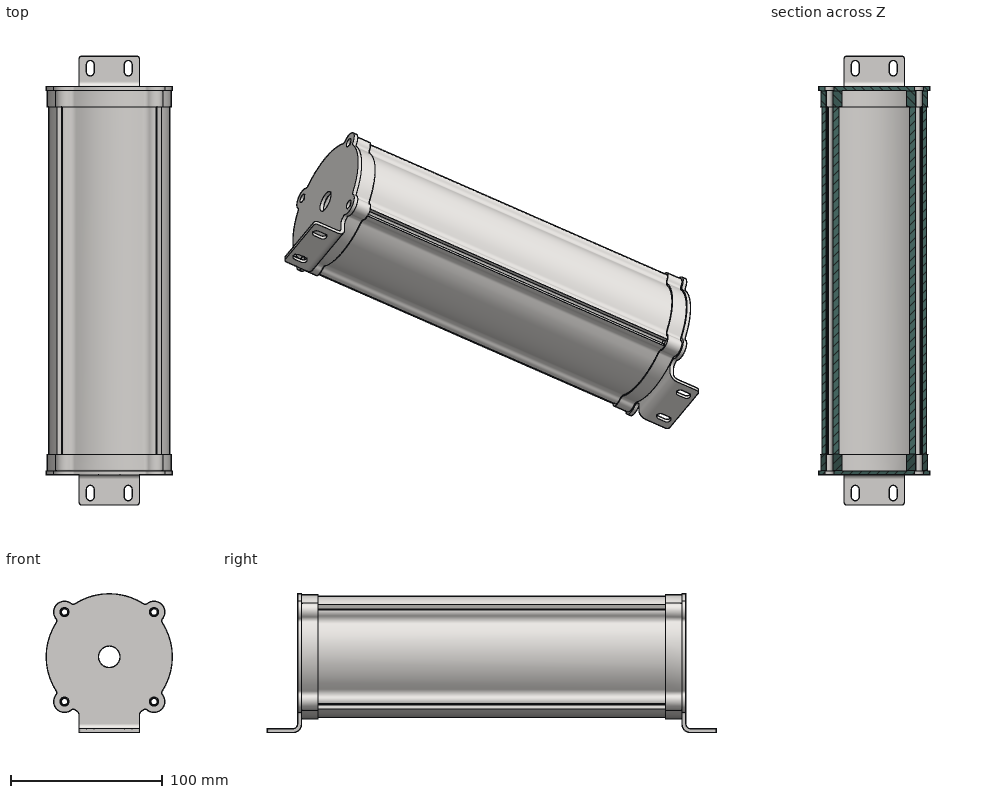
import cadquery as cq
import math

overall_length = 296.0
foot_bottom_z = -50.0

screw_spacing = 59.0
screw_offset = screw_spacing / 2
screw_positions = [(sx * screw_offset, sz * screw_offset) for sx in (-1, 1) for sz in (-1, 1)]
lobe_distance = screw_offset * math.sqrt(2)
screw_diameter = 4.2
screw_clearance_diameter = 5.9

tube_length = 229.0
tube_radius = 40.0
tube_bore_diameter = 75.0
tube_lobe_radius = 5.0
tube_blend_radius = 5.0
groove_throat_width = 2.0
groove_half_angle = 30.0

cap_radius = 41.0
cap_lobe_radius = 5.8
cap_blend_radius = 3.0
cap_edge_fillet = 0.6
cap_bore_diameter = 72.6

bracket_radius = 41.66
bracket_lobe_radius = 7.2
bracket_blend_radius = 2.0
cable_hole_diameter = 14.0
sheet_thickness = 2.7
bend_inner_radius = 3.0
bend_outer_radius = bend_inner_radius + sheet_thickness
foot_reach = 20.0
foot_width = 40.0
foot_corner_radius = 2.0
leg_fillet_radius = 3.0
slot_width = 5.0
slot_length = 10.0
slot_spacing = 25.0
slot_end_distance = 8.0

tube_end_y = tube_length / 2
foot_end_y = overall_length / 2
plate_outer_y = foot_end_y - foot_reach
plate_inner_y = plate_outer_y - sheet_thickness
cap_thickness = plate_inner_y - tube_end_y


def polar(distance, angle):
    return cq.Vector(distance * math.cos(angle), distance * math.sin(angle))


def lobed_solid(body_radius, lobe_radius, blend_radius, thickness):
    """Round body with four blended corner lobes, reaching from Y=0 to Y=thickness."""
    blend_distance = body_radius + blend_radius
    blend_to_lobe = lobe_radius + blend_radius
    blend_angle = math.acos(
        (blend_distance**2 + lobe_distance**2 - blend_to_lobe**2) / (2 * blend_distance * lobe_distance)
    )

    def blend_points(corner, side):
        centre = polar(blend_distance, corner + side * blend_angle)
        lobe_centre = polar(lobe_distance, corner)
        on_body = polar(body_radius, corner + side * blend_angle)
        on_lobe = lobe_centre + (centre - lobe_centre).normalized() * lobe_radius
        middle = centre + ((on_body + on_lobe) / 2 - centre).normalized() * blend_radius
        return on_body.toTuple()[:2], middle.toTuple()[:2], on_lobe.toTuple()[:2]

    corners = [math.radians(45 + 90 * quarter) for quarter in range(4)]
    start = blend_points(corners[-1], 1)[0]
    outline = cq.Workplane("XZ").moveTo(*start)
    for corner in corners:
        body_before, blend_before, lobe_before = blend_points(corner, -1)
        body_after, blend_after, lobe_after = blend_points(corner, 1)
        body_middle = polar(body_radius, corner - math.radians(45)).toTuple()[:2]
        lobe_tip = polar(lobe_distance + lobe_radius, corner).toTuple()[:2]
        outline = (
            outline.threePointArc(body_middle, body_before)
            .threePointArc(blend_before, lobe_before)
            .threePointArc(lobe_tip, lobe_after)
            .threePointArc(blend_after, body_after)
        )
    return outline.close().extrude(-thickness)


def cylinders(positions, diameter, thickness):
    """Cylinders along Y, reaching from Y=0 to Y=thickness."""
    return cq.Workplane("XZ").pushPoints(positions).circle(diameter / 2).extrude(-thickness)


def make_tube():
    tube = lobed_solid(tube_radius, tube_lobe_radius, tube_blend_radius, tube_length)
    tube = tube.cut(cylinders([(0, 0)], tube_bore_diameter, tube_length))
    tube = tube.cut(cylinders(screw_positions, screw_diameter, tube_length))
    mouth_depth = 2 * tube_lobe_radius
    throat = groove_throat_width / 2
    throat_start = math.sqrt((screw_diameter / 2) ** 2 - throat**2)
    mouth = throat + mouth_depth * math.tan(math.radians(groove_half_angle))
    for quarter in range(4):
        opening = (
            cq.Workplane("XZ")
            .center(lobe_distance + throat_start, 0)
            .polyline([(0, -throat), (mouth_depth, -mouth), (mouth_depth, mouth), (0, throat)])
            .close()
            .extrude(-tube_length)
            .rotate((0, 0, 0), (0, 1, 0), 45 + 90 * quarter)
        )
        tube = tube.cut(opening)
    return tube.translate((0, -tube_end_y, 0))


def make_cap():
    """Cap at the +Y end of the tube."""
    cap = lobed_solid(cap_radius, cap_lobe_radius, cap_blend_radius, cap_thickness)
    cap = cap.faces(">Y").edges().fillet(cap_edge_fillet)
    cap = cap.cut(cylinders([(0, 0)], cap_bore_diameter, cap_thickness))
    cap = cap.cut(cylinders(screw_positions, screw_diameter, cap_thickness))
    return cap.translate((0, tube_end_y, 0))


def make_foot():
    """Leg hanging from the plate, bent outward into a slotted foot, at the +Y end."""
    bend_y = plate_outer_y + bend_inner_radius
    bend_z = foot_bottom_z + bend_outer_radius
    foot_top_z = foot_bottom_z + sheet_thickness
    leg_top_z = -screw_offset
    sin45 = math.sin(math.radians(45))
    foot = (
        cq.Workplane("YZ")
        .moveTo(plate_inner_y, leg_top_z)
        .lineTo(plate_inner_y, bend_z)
        .threePointArc(
            (bend_y - bend_outer_radius * sin45, bend_z - bend_outer_radius * sin45), (bend_y, foot_bottom_z)
        )
        .lineTo(foot_end_y, foot_bottom_z)
        .lineTo(foot_end_y, foot_top_z)
        .lineTo(bend_y, foot_top_z)
        .threePointArc(
            (bend_y - bend_inner_radius * sin45, bend_z - bend_inner_radius * sin45), (plate_outer_y, bend_z)
        )
        .lineTo(plate_outer_y, leg_top_z)
        .close()
        .extrude(foot_width / 2, both=True)
    )
    foot = foot.faces(">Y").edges("|Z").fillet(foot_corner_radius)
    slot_y = foot_end_y - slot_end_distance
    slots = (
        cq.Workplane("XY", origin=(0, slot_y, foot_bottom_z))
        .pushPoints([(-slot_spacing / 2, 0), (slot_spacing / 2, 0)])
        .slot2D(slot_length, slot_width, 90)
        .extrude(sheet_thickness)
    )
    return foot.cut(slots)


def make_bracket():
    """Plate over the cap with its foot, at the +Y end."""
    plate = lobed_solid(bracket_radius, bracket_lobe_radius, bracket_blend_radius, sheet_thickness)
    plate = plate.translate((0, plate_inner_y, 0))
    bracket = plate.union(make_foot())
    corner_z = -math.sqrt(bracket_radius**2 - (foot_width / 2) ** 2)
    plate_middle_y = plate_inner_y + sheet_thickness / 2
    for side in (-1, 1):
        corner = (side * foot_width / 2, plate_middle_y, corner_z)
        bracket = bracket.edges(cq.selectors.NearestToPointSelector(corner)).fillet(leg_fillet_radius)
    cable_hole = cylinders([(0, 0)], cable_hole_diameter, sheet_thickness)
    screw_holes = cylinders(screw_positions, screw_clearance_diameter, sheet_thickness)
    return bracket.cut(cable_hole.union(screw_holes).translate((0, plate_inner_y, 0)))


tube = make_tube()
bodies = [tube.val()]
for make_end_part in (make_cap, make_bracket):
    end_part = make_end_part()
    bodies.append(end_part.val())
    bodies.append(end_part.mirror("XZ").val())

result = cq.Compound.makeCompound(bodies)